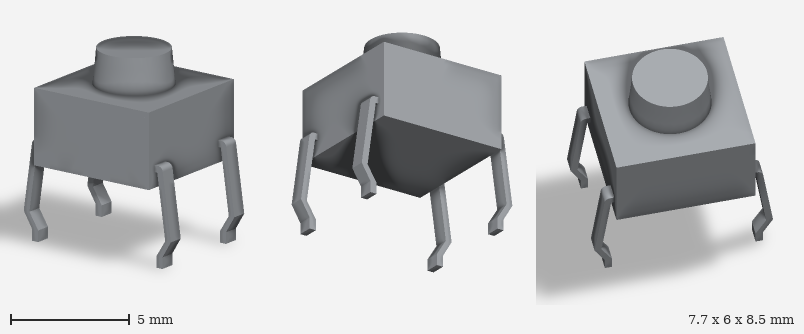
import cadquery as cq

body_side = 6.0
total_height = 8.5
lead_span = 7.7

housing_bottom = 3.49
cover_thickness = 0.25
cover_top = 6.9
cover_bottom = cover_top - cover_thickness

button_base_radius = 1.75
button_top_radius = 1.6

lead_width = 0.7
lead_offset_y = 2.24
lead_thickness = 0.3
lead_top = 4.49
shoulder_x = 3.39
shoulder_radius = 0.25
elbow_x = lead_span / 2
elbow_height = 1.25
foot_outer_x = 3.41
foot_thickness = 0.315
foot_height = 0.51
leg_shift = lead_thickness * (elbow_x - shoulder_x) / (lead_top - elbow_height)


def make_lead(side, y):
    """Bent strip rooted in the housing wall; side is +1 or -1 along X."""
    wall_x = body_side / 2
    outer_path = [
        (shoulder_x, lead_top),
        (elbow_x, elbow_height),
        (foot_outer_x, foot_height),
        (foot_outer_x, 0),
    ]
    inner_path = [
        (foot_outer_x - foot_thickness, 0),
        (foot_outer_x - foot_thickness, foot_height),
        (elbow_x - lead_thickness, elbow_height),
        (shoulder_x - lead_thickness + leg_shift, lead_top - lead_thickness),
    ]
    profile = [(wall_x, lead_top), *outer_path, *inner_path, (wall_x, lead_top - lead_thickness)]
    strip = (
        cq.Workplane("XZ", origin=(0, y, 0))
        .polyline([(side * x, z) for x, z in profile])
        .close()
        .extrude(lead_width / 2, both=True)
    )
    shoulder = cq.selectors.NearestToPointSelector((side * shoulder_x, y, lead_top))
    return strip.edges(shoulder).fillet(shoulder_radius)


def make_housing():
    """Square block with its four leads formed onto the side walls."""
    block = (
        cq.Workplane("XY", origin=(0, 0, housing_bottom))
        .rect(body_side, body_side)
        .extrude(cover_bottom - housing_bottom)
    )
    for side in (-1, 1):
        for y in (-lead_offset_y, lead_offset_y):
            block = block.union(make_lead(side, y))
    return block


def make_cover():
    """Flat square plate, flush with the housing walls."""
    return (
        cq.Workplane("XY", origin=(0, 0, cover_bottom))
        .rect(body_side, body_side)
        .extrude(cover_thickness)
    )


def make_button():
    """Round button, narrowing upwards from the cover."""
    return (
        cq.Workplane("XY", origin=(0, 0, cover_top))
        .circle(button_base_radius)
        .workplane(offset=total_height - cover_top)
        .circle(button_top_radius)
        .loft(ruled=True)
    )


housing = make_housing()
cover = make_cover()
button = make_button()

result = cq.Compound.makeCompound([housing.val(), cover.val(), button.val()])